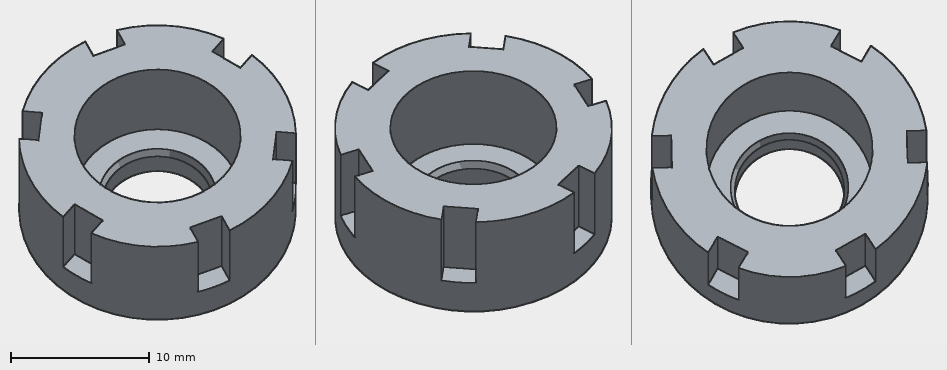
import cadquery as cq
import math

outer_diameter = 20.0
height = 9.5
bottom_chamfer = 0.7

bore_diameter = 12.0
bore_depth = 7.2

hole_diameter = 7.9
hole_flare_width = 0.3
hole_flare_half_angle = 30.0

slot_count = 6
slot_width = 2.5
slot_radial_depth = 1.5
slot_height = 6.0

outer_radius = outer_diameter / 2
floor_thickness = height - bore_depth
hole_flare_height = hole_flare_width / math.tan(math.radians(hole_flare_half_angle))


def make_body():
    """Plain round body with a chamfered bottom edge."""
    body = cq.Workplane("XY").circle(outer_radius).extrude(height)
    return body.faces("<Z").edges().chamfer(bottom_chamfer)


def make_bore():
    """Stepped opening, revolved from its half profile: wide bore, flat floor and flared hole."""
    hole_radius = hole_diameter / 2
    profile = (
        cq.Workplane("XZ")
        .lineTo(hole_radius, 0)
        .lineTo(hole_radius, floor_thickness - hole_flare_height)
        .lineTo(hole_radius + hole_flare_width, floor_thickness)
        .lineTo(bore_diameter / 2, floor_thickness)
        .lineTo(bore_diameter / 2, height)
        .lineTo(0, height)
        .close()
    )
    return profile.revolve(360, (0, 0, 0), (0, 1, 0))


def make_slot(angle):
    """Square-bottomed rim slot, open at the top and outward, centred at an angle about Z."""
    slot_length = 2 * slot_radial_depth
    slot = cq.Workplane("XY").box(slot_length, slot_width, slot_height, centered=(False, True, False))
    slot = slot.translate((outer_radius - slot_radial_depth, 0, height - slot_height))
    return slot.rotate((0, 0, 0), (0, 0, 1), angle)


result = make_body().cut(make_bore())
for index in range(slot_count):
    result = result.cut(make_slot(index * 360 / slot_count))